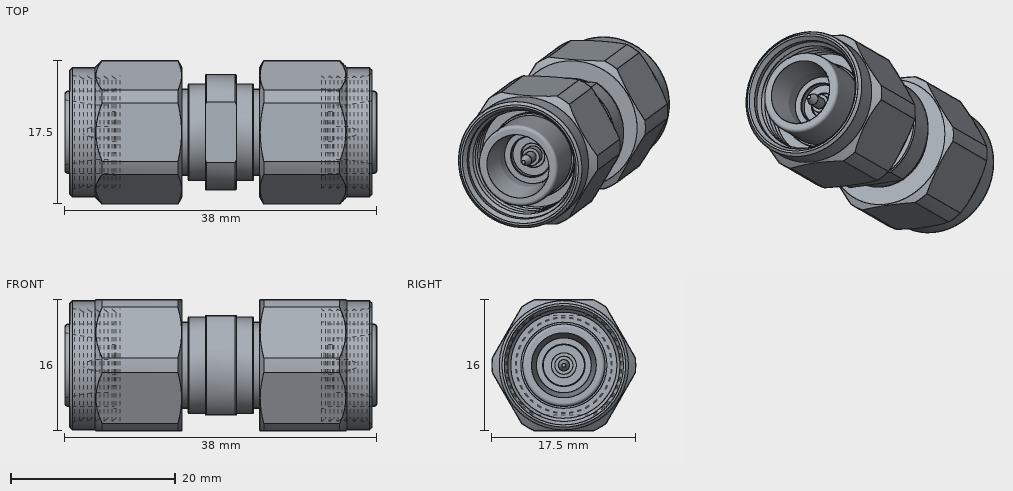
import cadquery as cq
import math


half_length = 19.0
body_radius = 5.25
collar_radius = 5.9
collar_half_width = 4.0
collar_chamfer = 0.1
grip_radius = 7.05
grip_half_width = 1.9
grip_chamfer = 0.15
grip_across_flats = 12.1

nut_across_flats = 16.0
nut_corner_radius = 8.76
nut_inner_x = -4.7
nut_front_x = -18.43
nut_ring_radius = 7.85
nut_ring_edge_x = -15.35
nut_front_chamfer = 0.35
hex_front_angle = 45.0
hex_back_angle = 60.0

thread_crest_radius = 6.45
thread_pitch = 1.0
thread_turns = 5
mouth_radius = 7.25
mouth_depth = 0.6
relief_radius = 6.85
relief_length = 0.6
recess_floor_radius = 6.4

sleeve_radius = 5.0
sleeve_fillet = 0.4
sleeve_shoulder_length = 0.75
bore_mouth_radius = 3.95
bore_radius = 3.35
bore_taper_depth = 3.57
contact_plane_depth = 5.32

line_radius = 2.5
line_chamfer = 0.08
line_depth = 0.75
insulator_hole_radius = 1.52
insulator_hole_depth = 0.38
conductor_radius = 1.1
pin_radius = 0.7
pin_tip_radius = 0.23
pin_tip_depth = 2.28
pin_tip_length = 1.15


def turned(points):
    """Turn a closed outline of (x, radius) points around the X axis."""
    return cq.Workplane("XY").polyline(points).close().revolve(360, (0, 0, 0), (1, 0, 0))


def cylinder(x_start, x_end, radius):
    """Cylinder on the X axis between two places."""
    return cq.Workplane("YZ", origin=(x_start, 0, 0)).circle(radius).extrude(x_end - x_start)


def make_grip():
    """Central disc with two flats, facing +Z and -Z."""
    disc = cylinder(-grip_half_width, grip_half_width, grip_radius).edges().chamfer(grip_chamfer)
    flats = cq.Workplane("XY").box(2 * grip_half_width, 2 * grip_radius, grip_across_flats)
    return disc.intersect(flats)


def make_collar():
    """Round collar carrying the grip, with broken edges."""
    collar = cylinder(-collar_half_width, collar_half_width, collar_radius)
    return collar.edges().chamfer(collar_chamfer)


def make_nut():
    """Hexagonal nut with turned corners and a round front ring, still without its recess."""
    corner_to_corner = nut_across_flats / math.cos(math.radians(30))
    hexagon = (
        cq.Workplane("YZ", origin=(nut_front_x, 0, 0))
        .polygon(6, corner_to_corner)
        .extrude(nut_inner_x - nut_front_x)
    )
    corner_rise = nut_corner_radius - nut_ring_radius
    front_slope = corner_rise / math.tan(math.radians(hex_front_angle))
    back_slope = corner_rise / math.tan(math.radians(hex_back_angle))
    envelope = turned([
        (nut_front_x, 0),
        (nut_front_x, nut_ring_radius - nut_front_chamfer),
        (nut_front_x + nut_front_chamfer, nut_ring_radius),
        (nut_ring_edge_x, nut_ring_radius),
        (nut_ring_edge_x + front_slope, nut_corner_radius),
        (nut_inner_x - back_slope, nut_corner_radius),
        (nut_inner_x, nut_ring_radius),
        (nut_inner_x, 0),
    ])
    return hexagon.intersect(envelope)


def make_thread_recess():
    """Flared mouth and plain relief followed by zigzag thread rings, down to the recess floor."""
    relief_x = nut_front_x + mouth_depth
    thread_x = relief_x + relief_length
    points = [
        (nut_front_x, 0),
        (nut_front_x, mouth_radius),
        (relief_x, relief_radius),
        (thread_x, relief_radius),
    ]
    for turn in range(thread_turns):
        crest_x = thread_x + (turn + 0.5) * thread_pitch
        points.append((crest_x, thread_crest_radius))
        points.append((crest_x + thread_pitch / 2, relief_radius))
    floor_x = thread_x + thread_turns * thread_pitch
    points += [(floor_x, recess_floor_radius), (floor_x, 0)]
    return turned(points), floor_x


def make_sleeve(floor_x):
    """Contact sleeve standing on the recess floor, with a rounded front edge."""
    front_x = -half_length
    shoulder_x = floor_x - sleeve_shoulder_length
    tube = cylinder(front_x, floor_x, sleeve_radius).faces("<X").edges().fillet(sleeve_fillet)
    return tube.union(cylinder(shoulder_x, floor_x, body_radius))


def make_bore():
    """Tapered mouth, plain bore, coaxial line and insulator hole around the centre pin."""
    front_x = -half_length
    taper_x = front_x + bore_taper_depth
    contact_x = front_x + contact_plane_depth
    line_x = contact_x + line_depth
    hole_x = line_x + insulator_hole_depth
    tip_x = front_x + pin_tip_depth
    return turned([
        (front_x, 0),
        (front_x, bore_mouth_radius),
        (taper_x, bore_radius),
        (contact_x, bore_radius),
        (contact_x, line_radius + line_chamfer),
        (contact_x + line_chamfer, line_radius),
        (line_x, line_radius),
        (line_x, insulator_hole_radius),
        (hole_x, insulator_hole_radius),
        (hole_x, conductor_radius),
        (contact_x, conductor_radius),
        (contact_x, pin_radius),
        (tip_x + pin_tip_length, pin_radius),
        (tip_x, pin_tip_radius),
        (tip_x, 0),
    ])


def make_end():
    """Complete male end on the -X side."""
    recess, floor_x = make_thread_recess()
    shell = make_nut().cut(recess).union(make_sleeve(floor_x))
    return shell.cut(make_bore())


end = make_end()
body = cylinder(nut_inner_x, -nut_inner_x, body_radius).union(make_collar()).union(make_grip())
result = body.union(end).union(end.mirror("YZ"))